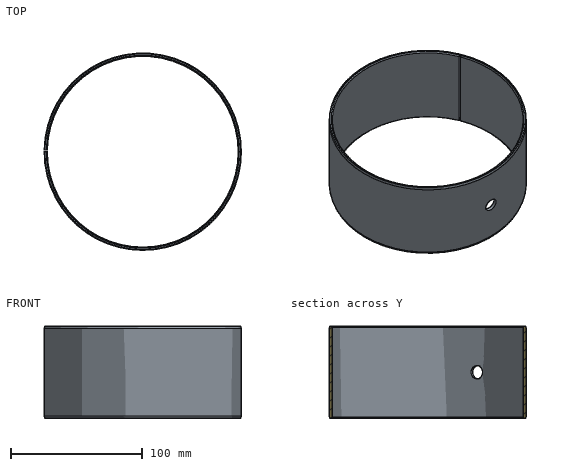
import cadquery as cq

outer_diameter = 150.0
height = 70.0
wall = 2.5

outer_chamfer_height = 1.8
outer_chamfer_depth = 0.6
inner_chamfer = 0.9

slit_width = 1.0
slit_center_y = 0.8
blade_length = 4 * wall

hole_diameter = 10.0
hole_angle = 59.0

outer_radius = outer_diameter / 2
inner_radius = outer_radius - wall
outer_rim_radius = outer_radius - outer_chamfer_depth
inner_rim_radius = inner_radius + inner_chamfer


def make_ring():
    """Revolve the wall section, with all four rim edges chamfered, about Z."""
    section = [
        (inner_rim_radius, 0),
        (outer_rim_radius, 0),
        (outer_radius, outer_chamfer_height),
        (outer_radius, height - outer_chamfer_height),
        (outer_rim_radius, height),
        (inner_rim_radius, height),
        (inner_radius, height - inner_chamfer),
        (inner_radius, inner_chamfer),
    ]
    return cq.Workplane("XZ").polyline(section).close().revolve(360, (0, 0), (0, 1))


def make_slit():
    """Full-height blade that cuts the -X side of the wall."""
    return (
        cq.Workplane("XY")
        .center(-outer_radius, slit_center_y)
        .rect(blade_length, slit_width)
        .extrude(height)
    )


def make_radial_hole():
    """Cylinder from the ring axis outward through one side of the wall."""
    return (
        cq.Workplane("YZ")
        .center(0, height / 2)
        .circle(hole_diameter / 2)
        .extrude(outer_diameter)
        .rotate((0, 0, 0), (0, 0, 1), hole_angle)
    )


result = make_ring().cut(make_slit()).cut(make_radial_hole())